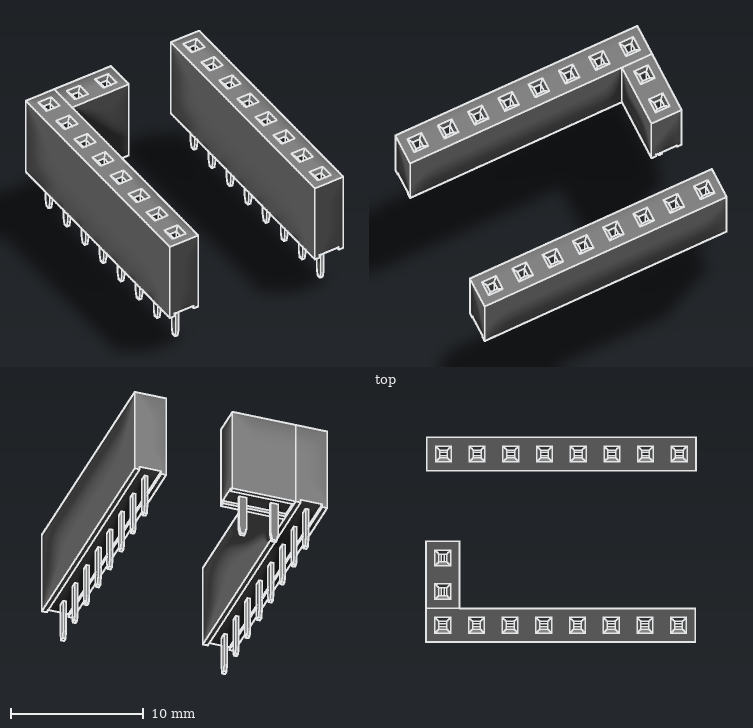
import cadquery as cq

overall_length = 20.37
overall_depth = 15.46
overall_height = 10.1
back_row_shift = 0.05
long_row_pins = 8
short_row_pins = 2

row_length = overall_length - back_row_shift
pitch = row_length / long_row_pins
housing_width = pitch
housing_height = 7.0

foot_width = 0.4
foot_height = 0.25

mouth_side = 1.18
throat_side = 0.6
funnel_depth = (mouth_side - throat_side) / 2
throat_depth = 2.85

pin_width = 0.61
pin_thickness = 0.25
pin_length = overall_height - housing_height
tip_width = 0.35
tip_length = 0.6
blade_rise = 0.25

throat_floor = housing_height - funnel_depth - throat_depth
blade_top = throat_floor + blade_rise


def housing_block(pin_count):
    """Plain housing with its corner at the origin, its row along X and its feet on Z = 0."""
    length = pin_count * pitch
    block = cq.Workplane("XY").box(length, housing_width, housing_height, centered=False)
    groove = (
        cq.Workplane("XY")
        .box(length, housing_width - 2 * foot_width, foot_height, centered=False)
        .translate((0, foot_width, 0))
    )
    return block.cut(groove)


def socket_cavity():
    """Square funnel and throat, centred on the Z axis."""
    funnel = (
        cq.Workplane("XY")
        .workplane(offset=housing_height)
        .rect(mouth_side, mouth_side)
        .workplane(offset=-funnel_depth)
        .rect(throat_side, throat_side)
        .loft(ruled=True)
    )
    throat = (
        cq.Workplane("XY")
        .workplane(offset=throat_floor)
        .rect(throat_side, throat_side)
        .extrude(throat_depth)
    )
    return funnel.union(throat)


def flat_pin():
    """Flat pin centred on the Z axis, from its narrowed tip up to the blade in the throat."""
    return (
        cq.Workplane("XZ")
        .moveTo(-pin_width / 2, blade_top)
        .lineTo(pin_width / 2, blade_top)
        .lineTo(pin_width / 2, tip_length - pin_length)
        .lineTo(tip_width / 2, -pin_length)
        .lineTo(-tip_width / 2, -pin_length)
        .lineTo(-pin_width / 2, tip_length - pin_length)
        .close()
        .extrude(pin_thickness / 2, both=True)
    )


def header(pin_count):
    """One header: a housing with a socket and a pin at every pitch along X."""
    body = housing_block(pin_count)
    for index in range(pin_count):
        position = ((index + 0.5) * pitch, housing_width / 2, 0)
        body = body.cut(socket_cavity().translate(position))
        body = body.union(flat_pin().translate(position))
    return body


front_header = header(long_row_pins)

back_header = header(long_row_pins).translate((back_row_shift, overall_depth - housing_width, 0))

side_header = (
    header(short_row_pins)
    .rotate((0, 0, 0), (0, 0, 1), 90)
    .translate((housing_width, housing_width, 0))
)

result = cq.Compound.makeCompound([front_header.val(), back_header.val(), side_header.val()])